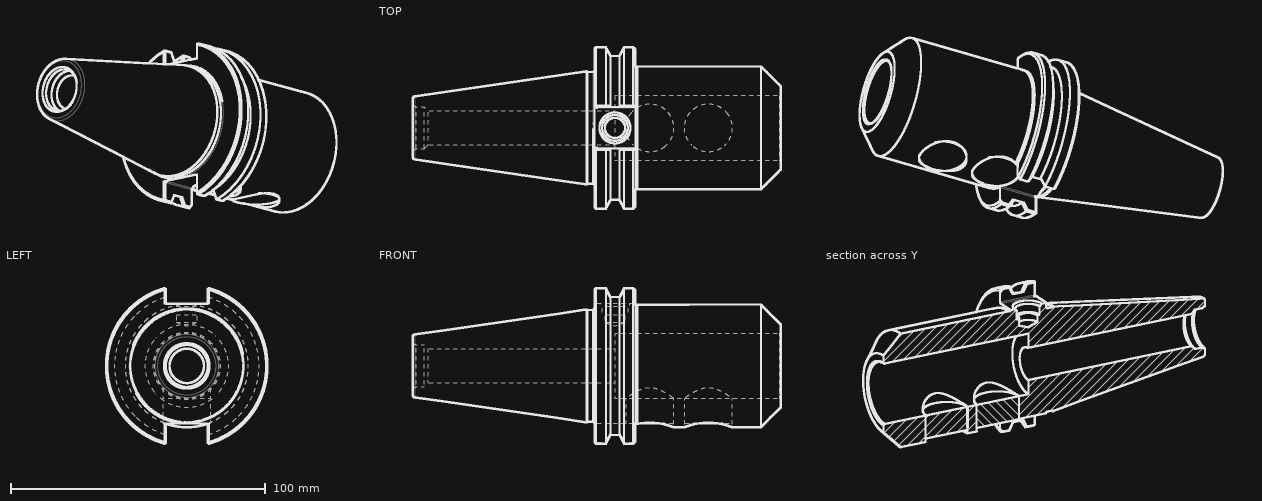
import cadquery as cq
import math

length = 144.5
gauge_x = 68.2
flange_front_x = 71.4
flange_back_x = 87.4
flange_width = flange_back_x - flange_front_x
flange_center_x = (flange_front_x + flange_back_x) / 2

taper_slope = 3.5 / 24
gauge_radius = 22.2
tip_radius = gauge_radius - taper_slope * gauge_x
tip_round = 1.0
neck_radius = 43.9 / 2
neck_step = 0.5
neck_fillet = 0.65

flange_radius = 31.8
flange_front_chamfer = 0.6
flange_back_chamfer = 0.9
groove_floor_radius = 28.3
groove_floor_width = 3.5
groove_mouth_width = 7.2

slot_width = 16.3
top_slot_floor = 24.4
bottom_slot_floor = 22.5
groove_floor_height = math.sqrt(groove_floor_radius**2 - (slot_width / 2)**2)
tolerance = 0.01
slot_edge_chamfer = 0.6
slot_floor_fillet = 0.5

nose_radius = 48.2 / 2
nose_chamfer = 7.8
relief_radius = 48.1 / 2
relief_length = 0.9

shank_radius = 25.4 / 2
shank_mouth_radius = 26.5 / 2
shank_depth = 65.0
thread_radius = 13.5 / 2
pilot_radius = 16.5 / 2
pilot_mouth_radius = 17.9 / 2
pilot_mouth_length = 1.3
pilot_depth = 4.5
pilot_cone_angle = 45.0

chip_radius = 10.1 / 2
chip_mouth_radius = 12.1 / 2
chip_depth = 4.5
chip_drill_radius = 8.0 / 2
chip_drill_depth = 2.9
chip_tip_half_angle = 70.0

screw_radius = 18.8 / 2
screw_spacing = 23.0
first_screw_x = 93.0
screw_xs = [first_screw_x + i * screw_spacing for i in range(2)]
screw_depth = 22.7


def revolve_about_x(points):
    """Solid of revolution about X from (x, radius) points that start and end on the axis."""
    return cq.Workplane("XY").polyline(points).close().revolve(360, (0, 0, 0), (1, 0, 0))


def make_taper():
    profile = (
        cq.Workplane("XY")
        .moveTo(0, 0)
        .lineTo(0, tip_radius)
        .lineTo(gauge_x, gauge_radius)
        .lineTo(gauge_x + neck_step, neck_radius)
        .lineTo(flange_front_x - neck_fillet, neck_radius)
        .tangentArcPoint((flange_front_x, neck_radius + neck_fillet), relative=False)
        .lineTo(flange_front_x, 0)
        .close()
    )
    taper = profile.revolve(360, (0, 0, 0), (1, 0, 0))
    return taper.faces("<X").edges().fillet(tip_round)


def make_flange():
    floor_half = groove_floor_width / 2
    mouth_half = groove_mouth_width / 2
    flange = revolve_about_x([
        (flange_front_x, 0),
        (flange_front_x, flange_radius - flange_front_chamfer),
        (flange_front_x + flange_front_chamfer, flange_radius),
        (flange_center_x - mouth_half, flange_radius),
        (flange_center_x - floor_half, groove_floor_radius),
        (flange_center_x + floor_half, groove_floor_radius),
        (flange_center_x + mouth_half, flange_radius),
        (flange_back_x - flange_back_chamfer, flange_radius),
        (flange_back_x, flange_radius - flange_back_chamfer),
        (flange_back_x, 0),
    ])
    for direction, floor in ((1, top_slot_floor), (-1, bottom_slot_floor)):
        flange = flange.cut(make_slot(floor, direction))
    return round_slot_corners(chamfer_slot_edges(flange))


def make_slot(floor, direction):
    """Slot along X, above the axis for direction 1 and below it for direction -1."""
    depth = flange_radius - floor
    slot = cq.Workplane("XY").box(flange_width, slot_width, depth)
    return slot.translate((flange_center_x, 0, direction * (floor + depth / 2)))


def chamfer_slot_edges(flange):
    """Chamfers the slot walls at the front face, along the outer rims and down the groove flanks."""
    edges = []
    for wall in flange.faces("|Y").vals():
        for edge in wall.Edges():
            center = edge.Center()
            on_slot_floor = edge.BoundingBox().zlen < tolerance and abs(center.z) < groove_floor_height
            on_back = center.x > flange_back_x - tolerance
            on_groove_floor = abs(abs(center.z) - groove_floor_height) < tolerance
            if not (on_slot_floor or on_back or on_groove_floor):
                edges.append(edge)
    return flange.newObject(edges).chamfer(slot_edge_chamfer)


def round_slot_corners(flange):
    """Rounds the inside corners where the slot walls meet the slot floors."""
    corners = [
        edge
        for edge in flange.edges("|X").vals()
        if abs(abs(edge.Center().y) - slot_width / 2) < tolerance
        and abs(edge.Center().z) < groove_floor_height - tolerance
    ]
    return flange.newObject(corners).fillet(slot_floor_fillet)


def make_nose():
    return revolve_about_x([
        (flange_back_x, 0),
        (flange_back_x, relief_radius),
        (flange_back_x + relief_length, relief_radius),
        (flange_back_x + relief_length, nose_radius),
        (length - nose_chamfer, nose_radius),
        (length, nose_radius - nose_chamfer),
        (length, 0),
    ])


def make_axial_bore():
    """Pilot, thread hole and shank bore as one body of revolution."""
    pilot_cone = (pilot_radius - thread_radius) / math.tan(math.radians(pilot_cone_angle))
    shank_mouth_cone = shank_mouth_radius - shank_radius
    shank_floor_x = length - shank_depth
    return revolve_about_x([
        (0, 0),
        (0, pilot_mouth_radius),
        (pilot_mouth_length, pilot_radius),
        (pilot_depth, pilot_radius),
        (pilot_depth + pilot_cone, thread_radius),
        (shank_floor_x, thread_radius),
        (shank_floor_x, shank_radius),
        (length - shank_mouth_cone, shank_radius),
        (length, shank_mouth_radius),
        (length, 0),
    ])


def make_chip_hole():
    step = top_slot_floor - chip_depth
    drill_end = step - chip_drill_depth
    mouth_cone = chip_mouth_radius - chip_radius
    tip_length = chip_drill_radius / math.tan(math.radians(chip_tip_half_angle))
    profile = [
        (0, top_slot_floor),
        (chip_mouth_radius, top_slot_floor),
        (chip_radius, top_slot_floor - mouth_cone),
        (chip_radius, step),
        (chip_drill_radius, step),
        (chip_drill_radius, drill_end),
        (0, drill_end - tip_length),
    ]
    hole = cq.Workplane("XZ").polyline(profile).close().revolve(360, (0, 0, 0), (0, 1, 0))
    return hole.translate((flange_center_x, 0, 0))


def make_screw_hole(x):
    """Radial hole from the axis out through the underside of the nose."""
    return cq.Workplane("XY").circle(screw_radius).extrude(-nose_radius).translate((x, 0, 0))


def make_holder():
    holder = make_taper().union(make_flange()).union(make_nose())
    holder = holder.cut(make_axial_bore()).cut(make_chip_hole())
    for x in screw_xs:
        holder = holder.cut(make_screw_hole(x))
    return holder


def make_screw(x):
    """Plain clamping screw reaching from the shank bore to just below the nose surface."""
    screw = cq.Workplane("XY").circle(screw_radius).extrude(screw_depth - shank_radius)
    return screw.translate((x, 0, -screw_depth))


holder = make_holder()
screws = [make_screw(x) for x in screw_xs]
result = cq.Compound.makeCompound([holder.val(), *[screw.val() for screw in screws]])